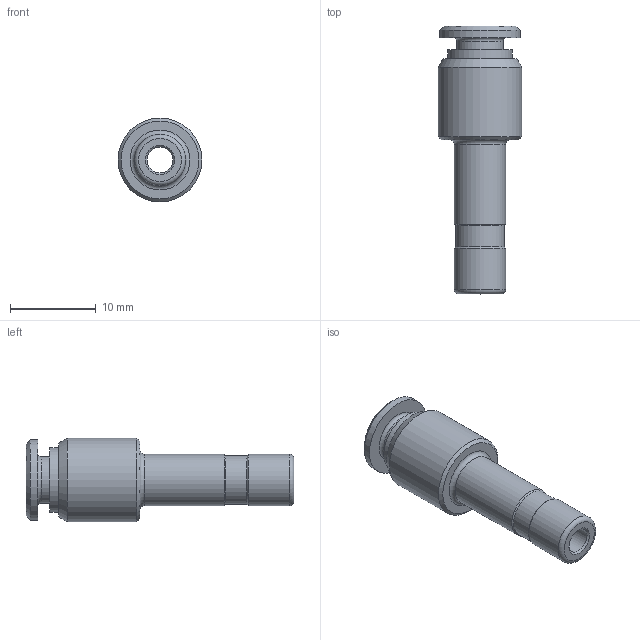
import cadquery as cq
import math


STEM_RADIUS = 3.0
STEM_LENGTH = 18.0
TIP_FILLET = 0.5
STEM_ROOT_FILLET = 0.5

GROOVE_START = 5.35
GROOVE_END = 8.15
GROOVE_DEPTH = 0.15

BODY_RADIUS = 4.9
BODY_LENGTH = 9.5
BODY_FRONT_CHAMFER = 0.35
BODY_REAR_CHAMFER_DEPTH = 0.6
BODY_REAR_CHAMFER_ANGLE = 30.0
BODY_REAR_CHAMFER_LENGTH = BODY_REAR_CHAMFER_DEPTH / math.tan(math.radians(BODY_REAR_CHAMFER_ANGLE))

COLLAR_RADIUS = 3.75
COLLAR_LENGTH = 1.05

NECK_RADIUS = 2.72
NECK_LENGTH = 1.4
NECK_FILLET = 0.4
HEAD_RADIUS = 4.7
HEAD_LENGTH = 1.35
HEAD_CHAMFER = 0.5

BORE_RADIUS = 1.5
BORE_CHAMFER = 0.2

BODY_START = STEM_LENGTH
BODY_END = BODY_START + BODY_LENGTH
COLLAR_END = BODY_END + COLLAR_LENGTH
NECK_END = COLLAR_END + NECK_LENGTH
HEAD_END = NECK_END + HEAD_LENGTH


def revolve_about_y(profile):
    """Close a half profile (x = radius) and spin it a full turn about the Y axis."""
    return profile.close().revolve(360, (0, 0, 0), (0, 1, 0))


def cylinder(radius, start, end):
    """Solid cylinder on the Y axis between two stations."""
    profile = (
        cq.Workplane("XY")
        .moveTo(0, start)
        .lineTo(radius, start)
        .lineTo(radius, end)
        .lineTo(0, end)
    )
    return revolve_about_y(profile)


def make_stem():
    """Plug stem with a rounded tip, a shallow groove and a fillet flaring into the body."""
    groove_radius = STEM_RADIUS - GROOVE_DEPTH
    profile = (
        cq.Workplane("XY")
        .lineTo(STEM_RADIUS - TIP_FILLET, 0)
        .radiusArc((STEM_RADIUS, TIP_FILLET), -TIP_FILLET)
        .lineTo(STEM_RADIUS, GROOVE_START)
        .lineTo(groove_radius, GROOVE_START + GROOVE_DEPTH)
        .lineTo(groove_radius, GROOVE_END - GROOVE_DEPTH)
        .lineTo(STEM_RADIUS, GROOVE_END)
        .lineTo(STEM_RADIUS, STEM_LENGTH - STEM_ROOT_FILLET)
        .radiusArc((STEM_RADIUS + STEM_ROOT_FILLET, STEM_LENGTH), STEM_ROOT_FILLET)
        .lineTo(0, STEM_LENGTH)
    )
    return revolve_about_y(profile)


def make_body():
    """Main cylinder with a small front chamfer and a longer rear taper."""
    profile = (
        cq.Workplane("XY")
        .moveTo(0, BODY_START)
        .lineTo(BODY_RADIUS - BODY_FRONT_CHAMFER, BODY_START)
        .lineTo(BODY_RADIUS, BODY_START + BODY_FRONT_CHAMFER)
        .lineTo(BODY_RADIUS, BODY_END - BODY_REAR_CHAMFER_LENGTH)
        .lineTo(BODY_RADIUS - BODY_REAR_CHAMFER_DEPTH, BODY_END)
        .lineTo(0, BODY_END)
    )
    return revolve_about_y(profile)


def make_release_button():
    """Neck filleted into the underside of a head with a chamfered outer rim."""
    profile = (
        cq.Workplane("XY")
        .moveTo(0, COLLAR_END)
        .lineTo(NECK_RADIUS, COLLAR_END)
        .lineTo(NECK_RADIUS, NECK_END - NECK_FILLET)
        .radiusArc((NECK_RADIUS + NECK_FILLET, NECK_END), NECK_FILLET)
        .lineTo(HEAD_RADIUS, NECK_END)
        .lineTo(HEAD_RADIUS, HEAD_END - HEAD_CHAMFER)
        .lineTo(HEAD_RADIUS - HEAD_CHAMFER, HEAD_END)
        .lineTo(0, HEAD_END)
    )
    return revolve_about_y(profile)


def make_bore():
    """Cutter for the through bore, flared by a chamfer at the plug tip."""
    profile = (
        cq.Workplane("XY")
        .lineTo(BORE_RADIUS + BORE_CHAMFER, 0)
        .lineTo(BORE_RADIUS, BORE_CHAMFER)
        .lineTo(BORE_RADIUS, HEAD_END)
        .lineTo(0, HEAD_END)
    )
    return revolve_about_y(profile)


result = (
    make_stem()
    .union(make_body())
    .union(cylinder(COLLAR_RADIUS, BODY_END, COLLAR_END))
    .union(make_release_button())
    .cut(make_bore())
)